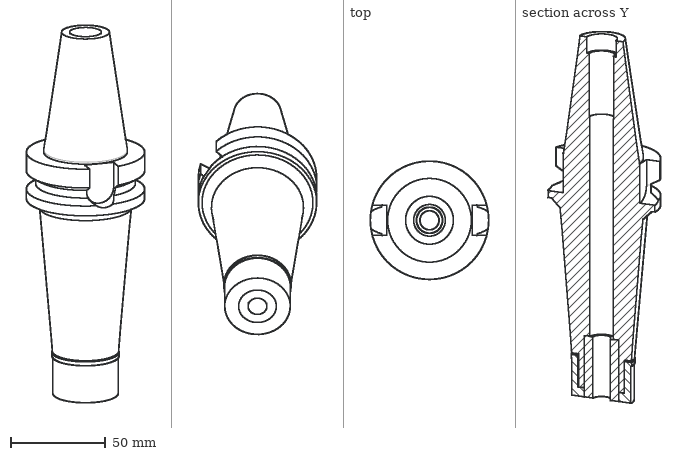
import cadquery as cq
import math


total_height = 200.5
gauge_z = 135.0
drive_face_z = 133.9
flange_base_z = 108.0
shank_top_z = 103.2
shank_bottom_z = 23.5
nut_gap = 0.6
nut_top_z = shank_bottom_z - nut_gap
nut_rim_height = 2.2
nut_floor = 5.0
collet_length = 34

gauge_radius = 22.2
taper_ratio = 7 / 24
tip_radius = gauge_radius - (total_height - gauge_z) * taper_ratio / 2
counterbore_radius = 8.5
counterbore_depth = 9.0
drawbar_bore_radius = 7.0
drawbar_bore_bottom_z = 156.3
passage_radius = 6.8

flange_radius = 31.5
groove_radius = 26.5
groove_top_z = 123.5
groove_bottom_z = 113.5
groove_flank_angle = 30
groove_flank_height = (flange_radius - groove_radius) * math.tan(math.radians(groove_flank_angle))

slot_width = 16
slot_radius = slot_width / 2
slot_bottom_z = 112.0
slot_floor_x = 22.6

shank_top_radius = 24.5
shank_collar_radius = 29.5
shank_bottom_radius = 17.6
nose_radius = 13.6

nut_radius = 17.5
nut_rim_radius = 17.8
collet_radius = 10
collet_bore_radius = 5.0


def cylinder(radius, bottom_z, top_z):
    return cq.Workplane("XY").workplane(offset=bottom_z).circle(radius).extrude(top_z - bottom_z)


def drive_slot(side):
    """Cutter for one round-ended slot, open to the top and outward; side is +1 or -1 along X."""
    arc_center_z = slot_bottom_z + slot_radius
    cutter = (
        cq.Workplane("YZ", origin=(slot_floor_x, 0, 0))
        .moveTo(-slot_radius, drive_face_z)
        .lineTo(-slot_radius, arc_center_z)
        .threePointArc((0, slot_bottom_z), (slot_radius, arc_center_z))
        .lineTo(slot_radius, drive_face_z)
        .close()
        .extrude(flange_radius)
    )
    return cutter if side > 0 else cutter.mirror("YZ")


def make_holder():
    profile = [
        (0, nut_floor),
        (nose_radius, nut_floor),
        (nose_radius, shank_bottom_z),
        (shank_bottom_radius, shank_bottom_z),
        (shank_top_radius, shank_top_z),
        (shank_collar_radius, flange_base_z),
        (flange_radius, flange_base_z),
        (flange_radius, groove_bottom_z),
        (groove_radius, groove_bottom_z + groove_flank_height),
        (groove_radius, groove_top_z - groove_flank_height),
        (flange_radius, groove_top_z),
        (flange_radius, drive_face_z),
        (gauge_radius, drive_face_z),
        (gauge_radius, gauge_z),
        (tip_radius, total_height),
        (0, total_height),
    ]
    holder = cq.Workplane("YZ").polyline(profile).close().revolve(360, (0, 0, 0), (0, 1, 0))
    for side in (-1, 1):
        holder = holder.cut(drive_slot(side))
    holder = holder.cut(cylinder(counterbore_radius, total_height - counterbore_depth, total_height))
    holder = holder.cut(cylinder(drawbar_bore_radius, drawbar_bore_bottom_z, total_height))
    holder = holder.cut(cylinder(passage_radius, collet_length, total_height))
    return holder.cut(cylinder(collet_radius, 0, collet_length))


def make_nut():
    nut = cylinder(nut_radius, 0, nut_top_z)
    nut = nut.union(cylinder(nut_rim_radius, nut_top_z - nut_rim_height, nut_top_z))
    nut = nut.cut(cylinder(nose_radius, nut_floor, nut_top_z))
    return nut.cut(cylinder(collet_radius, 0, nut_floor))


def make_collet():
    collet = cylinder(collet_radius, 0, collet_length)
    return collet.cut(cylinder(collet_bore_radius, 0, collet_length))


holder = make_holder()
nut = make_nut()
collet = make_collet()

result = cq.Compound.makeCompound([holder.val(), nut.val(), collet.val()])